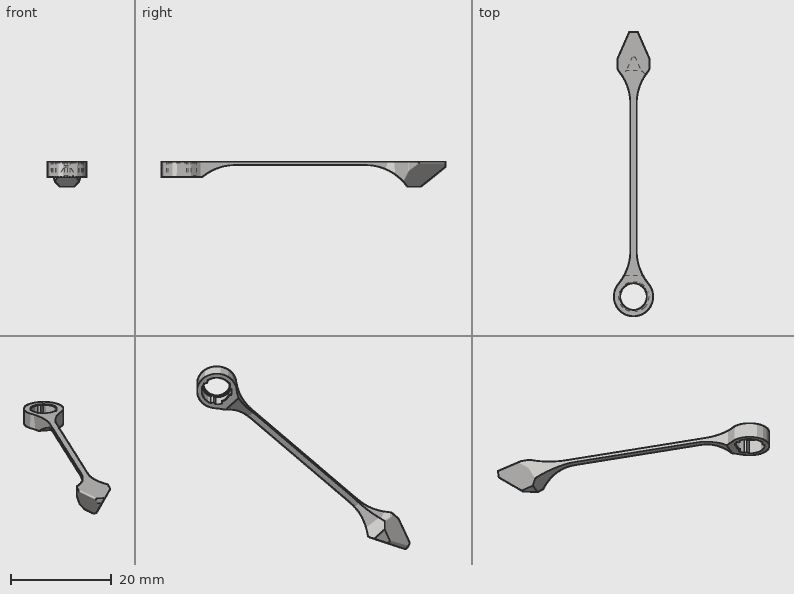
import cadquery as cq
import math

total_length = 56.4
ring_diameter = 7.85
hole_diameter = 5.25
ring_height = 3.1
handle_width = 1.3
handle_thickness = 0.75
blend_radius = 10.15

head_width = 6.4
head_height = 5.0
head_arc_start_y = 38.3
under_arc_start_y = 36.6
tip_thickness = 1.05
base_front_y = 47.55
flank_ref_half_width = 3.4
flank_ref_y = 47.15
flank_taper = 23.6
flank_lean = 28.0
edge_rounding = 0.255
corner_rounding = 0.85

cavity_diameter = 6.0
lip_thickness = 0.2
ridge_angles = (30, 150, 270)
ridge_half_angle = 10
tab_angle = 90
tab_half_angle = 25
tab_height = 0.35

ring_radius = ring_diameter / 2
half_handle = handle_width / 2
half_head = head_width / 2
tip_y = total_length - ring_radius


def arc_rise(radius, run):
    """Sideways rise of an arc that starts tangent to the handle, after a run along Y."""
    return radius - math.sqrt(radius**2 - run**2)


def arc_run(radius, rise):
    """Run along Y that an arc tangent to the handle needs for a given rise."""
    return math.sqrt(radius**2 - (radius - rise) ** 2)


ring_arc_start_y = math.sqrt((blend_radius + ring_radius) ** 2 - (blend_radius + half_handle) ** 2)
ring_share = ring_radius / (blend_radius + ring_radius)
ring_tangent_x = (blend_radius + half_handle) * ring_share
ring_tangent_y = ring_arc_start_y * ring_share
ring_arc_mid_y = (ring_arc_start_y + ring_tangent_y) / 2
ring_arc_mid_x = half_handle + arc_rise(blend_radius, ring_arc_start_y - ring_arc_mid_y)

head_arc_run = arc_run(blend_radius, half_head - half_handle)
head_corner_y = head_arc_start_y + head_arc_run
head_arc_mid_x = half_handle + arc_rise(blend_radius, head_arc_run / 2)
head_arc_mid_y = head_arc_start_y + head_arc_run / 2


under_offset = head_arc_start_y - under_arc_start_y


def plan_body():
    """Plan outline of ring, handle and untrimmed head, through the full height."""
    return (
        cq.Workplane("XY")
        .moveTo(ring_tangent_x, ring_tangent_y)
        .threePointArc((ring_arc_mid_x, ring_arc_mid_y), (half_handle, ring_arc_start_y))
        .lineTo(half_handle, head_arc_start_y)
        .threePointArc((head_arc_mid_x, head_arc_mid_y), (half_head, head_corner_y))
        .lineTo(half_head, tip_y)
        .lineTo(-half_head, tip_y)
        .lineTo(-half_head, head_corner_y)
        .threePointArc((-head_arc_mid_x, head_arc_mid_y), (-half_handle, head_arc_start_y))
        .lineTo(-half_handle, ring_arc_start_y)
        .threePointArc((-ring_arc_mid_x, ring_arc_mid_y), (-ring_tangent_x, ring_tangent_y))
        .threePointArc((0, -ring_radius), (ring_tangent_x, ring_tangent_y))
        .close()
        .extrude(-head_height)
    )


def side_body():
    """Side outline: arched underside between the ring and the sloped head."""
    ring_run = arc_run(blend_radius, ring_height - handle_thickness)
    head_run = arc_run(blend_radius, head_height - handle_thickness)
    ring_under_start_y = ring_arc_start_y + under_offset
    ring_mid_z = -handle_thickness - arc_rise(blend_radius, ring_run / 2)
    head_mid_z = -handle_thickness - arc_rise(blend_radius, head_run / 2)
    return (
        cq.Workplane("YZ")
        .moveTo(-ring_radius, 0)
        .lineTo(-ring_radius, -ring_height)
        .lineTo(ring_under_start_y - ring_run, -ring_height)
        .threePointArc(
            (ring_under_start_y - ring_run / 2, ring_mid_z),
            (ring_under_start_y, -handle_thickness),
        )
        .lineTo(under_arc_start_y, -handle_thickness)
        .threePointArc(
            (under_arc_start_y + head_run / 2, head_mid_z),
            (under_arc_start_y + head_run, -head_height),
        )
        .lineTo(base_front_y, -head_height)
        .lineTo(tip_y, -tip_thickness)
        .lineTo(tip_y, 0)
        .close()
        .extrude(ring_radius, both=True)
    )


def flank_cutter(side):
    """Block outside one head flank, tapering to the tip and leaning inwards underneath."""
    size = total_length
    block = cq.Workplane("XY").box(size, size, size, centered=(False, True, True))
    block = block.rotate((0, 0, 0), (0, 1, 0), flank_lean)
    block = block.rotate((0, 0, 0), (0, 0, 1), flank_taper)
    block = block.translate((flank_ref_half_width, flank_ref_y, 0))
    return block if side > 0 else block.mirror("YZ")


def ring_point(radius, angle):
    """Point at a polar position about the ring axis."""
    return (radius * math.cos(math.radians(angle)), radius * math.sin(math.radians(angle)))


def ring_cavity():
    """Hole through the lip, opening into a wider cavity with ridges and a low tab."""
    hole_radius = hole_diameter / 2
    cavity_radius = cavity_diameter / 2
    cavity_depth = ring_height - lip_thickness
    hole = cq.Workplane("XY").circle(hole_radius).extrude(-ring_height)
    cavity = cq.Workplane("XY", origin=(0, 0, -ring_height)).circle(cavity_radius).extrude(cavity_depth)
    for angle in ridge_angles:
        ridge = (
            cq.Workplane("XY", origin=(0, 0, -ring_height))
            .polyline([
                ring_point(hole_radius, angle),
                ring_point(cavity_radius, angle + ridge_half_angle),
                ring_point(ring_radius, angle),
                ring_point(cavity_radius, angle - ridge_half_angle),
            ])
            .close()
            .extrude(cavity_depth)
        )
        cavity = cavity.cut(ridge)
    tab = (
        cq.Workplane("XY", origin=(0, 0, -ring_height))
        .moveTo(*ring_point(hole_radius, tab_angle - tab_half_angle))
        .threePointArc(
            ring_point(hole_radius, tab_angle),
            ring_point(hole_radius, tab_angle + tab_half_angle),
        )
        .lineTo(*ring_point(ring_radius, tab_angle + tab_half_angle))
        .lineTo(*ring_point(ring_radius, tab_angle - tab_half_angle))
        .close()
        .extrude(tab_height)
    )
    return hole.union(cavity.cut(tab))


def flank_face(side):
    """Selector for the leaning face of one flank, by a point lying on its plane."""
    depth = head_height / 2
    inset = depth * math.tan(math.radians(flank_lean)) / math.cos(math.radians(flank_taper))
    return cq.selectors.NearestToPointSelector((side * (flank_ref_half_width - inset), flank_ref_y, -depth))


plan = plan_body()
for side in (1, -1):
    corner = cq.selectors.NearestToPointSelector((side * half_head, head_corner_y, -head_height / 2))
    plan = plan.edges(corner).fillet(corner_rounding)

body = plan.intersect(side_body())
for side in (1, -1):
    body = body.cut(flank_cutter(side))

low_edges = "<<Z[-1] or <<Z[-2]"
for side in (1, -1):
    body = body.faces(flank_face(side)).edges(f"not({low_edges})").fillet(edge_rounding)

result = body.cut(ring_cavity())